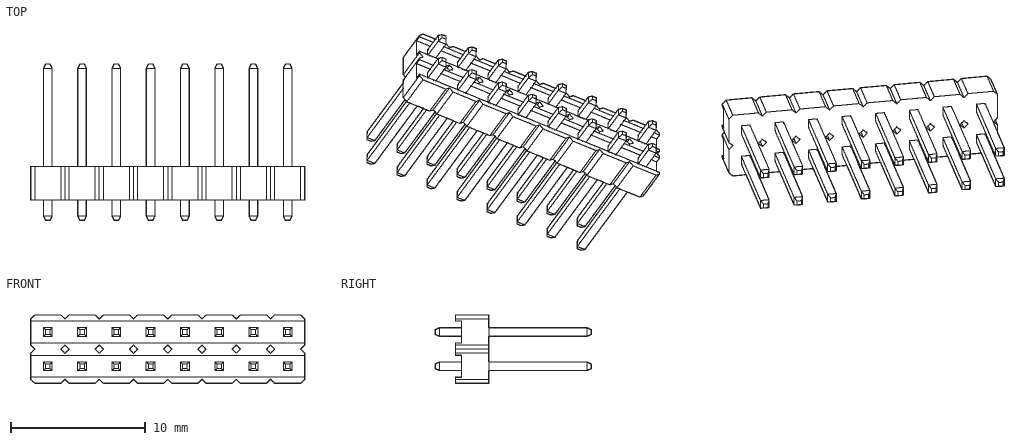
import cadquery as cq

PITCH = 2.54
COLUMNS = 8
ROWS = 2

BODY_DEPTH = 2.5
CORNER_CHAMFER = 0.3
CHANNEL_HEIGHT = 1.6
CHANNEL_DEPTH = 0.45

PIN_WIDTH = 0.65
PIN_FRONT = 1.5
PIN_BACK = 7.6
TIP_LENGTH = 0.325
TIP_WIDTH = 0.34

BODY_LENGTH = COLUMNS * PITCH
BODY_HEIGHT = ROWS * PITCH


def centred_positions(count):
    """Positions at the contact pitch, centred on zero."""
    return [(i - (count - 1) / 2) * PITCH for i in range(count)]


COLUMN_X = centred_positions(COLUMNS)
ROW_Z = centred_positions(ROWS)


def make_notches():
    """Diamond bars along Y at every cell corner, which bevel the cells around them."""
    corners = [
        (x, z)
        for x in centred_positions(COLUMNS + 1)
        for z in centred_positions(ROWS + 1)
    ]
    diamond = (
        cq.Sketch()
        .polygon([
            (-CORNER_CHAMFER, 0),
            (0, -CORNER_CHAMFER),
            (CORNER_CHAMFER, 0),
            (0, CORNER_CHAMFER),
            (-CORNER_CHAMFER, 0),
        ])
    )
    return cq.Workplane("XZ").pushPoints(corners).placeSketch(diamond).extrude(-BODY_DEPTH)


def make_housing():
    """Block of contact cells with bevelled corners and one front channel per row."""
    housing = cq.Workplane("XZ").rect(BODY_LENGTH, BODY_HEIGHT).extrude(-BODY_DEPTH)
    housing = housing.cut(make_notches())
    for z in ROW_Z:
        channel = (
            cq.Workplane("XZ")
            .center(0, z)
            .rect(BODY_LENGTH, CHANNEL_HEIGHT)
            .extrude(-CHANNEL_DEPTH)
        )
        housing = housing.cut(channel)
    return housing


def make_tip(base_y, end_y):
    """Square taper from the full pin section at base_y to the end flat at end_y."""
    return (
        cq.Workplane("XZ", origin=(0, base_y, 0))
        .rect(PIN_WIDTH, PIN_WIDTH)
        .workplane(offset=base_y - end_y)
        .rect(TIP_WIDTH, TIP_WIDTH)
        .loft(ruled=True)
    )


def make_pin():
    """Square pin along Y, passing through the housing and tapered at both ends."""
    front_end = -PIN_FRONT
    back_end = BODY_DEPTH + PIN_BACK
    shank_front = front_end + TIP_LENGTH
    shank_back = back_end - TIP_LENGTH
    shank = (
        cq.Workplane("XZ", origin=(0, shank_front, 0))
        .rect(PIN_WIDTH, PIN_WIDTH)
        .extrude(shank_front - shank_back)
    )
    return shank.union(make_tip(shank_front, front_end)).union(make_tip(shank_back, back_end))


def make_header():
    """Housing with a pin in every cell, joined into one solid."""
    header = make_housing()
    pin = make_pin()
    for x in COLUMN_X:
        for z in ROW_Z:
            header = header.union(pin.translate((x, 0, z)))
    return header


result = make_header()